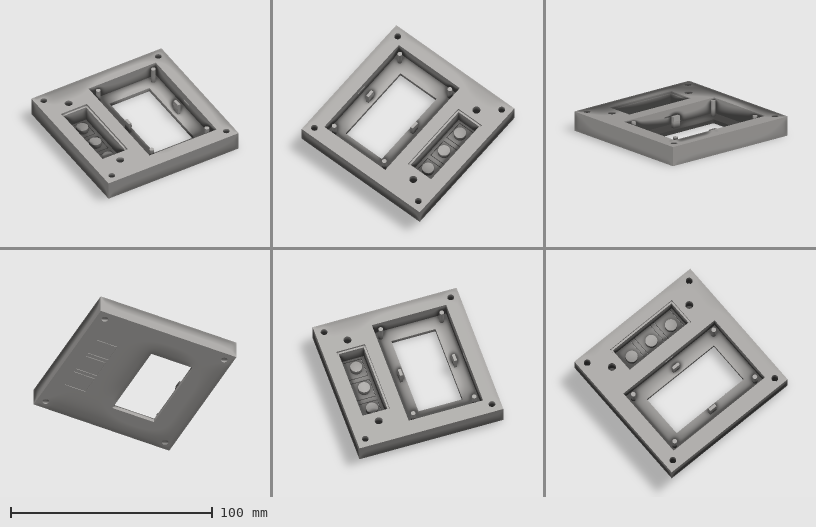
import cadquery as cq

plate_side = 75.0
plate_thickness = 10.0
screw_hole_spacing = 66.0
screw_hole_diameter = 3.4

display_center_y = 10.1
pocket_width = 59.0
pocket_height = 38.7
pocket_floor_z = 2.0
window_width = 43.4
window_height = 22.95
window_center_x = -0.75
pin_diameter = 2.3
pin_spacing_x = 52.0
pin_spacing_y = 31.8

clip_width = 4.0
clip_thickness = 1.5
clip_gap = 26.7
clip_height = 6.0
clip_top_z = pocket_floor_z + clip_height
hook_reach = 0.4
hook_nose_height = 3.5
hook_nose_z = pocket_floor_z + hook_nose_height

wall_slot_width = 5.4
wall_slot_height = 1.0
wall_slot_depth = 1.0
wall_slot_bottom_z = 5.55

keypad_center_y = -23.4
rebate_width = 40.0
rebate_height = 14.9
rebate_depth = 1.05
keypad_width = 38.0
keypad_height = 13.0
keypad_floor_z = 1.0
key_count = 3
key_pitch = 12.7
key_outer_width = 10.6
key_slit = 0.3
key_slit_top_y = -18.4
button_diameter = 6.0
button_height = 2.5
button_center_y = -22.9

blind_hole_diameter = 4.0
blind_hole_spacing = 50.0
blind_hole_floor_z = pocket_floor_z


def block(width, height, center_x, center_y, bottom_z, top_z):
    """Box with the given plan size and centre, between two levels."""
    return (
        cq.Workplane("XY", origin=(center_x, center_y, bottom_z))
        .rect(width, height)
        .extrude(top_z - bottom_z)
    )


def posts(points, diameter, bottom_z, top_z):
    """Upright cylinders at the given points, between two levels."""
    return (
        cq.Workplane("XY", origin=(0, 0, bottom_z))
        .pushPoints(points)
        .circle(diameter / 2)
        .extrude(top_z - bottom_z)
    )


def corner_points(spacing_x, spacing_y, center_y=0.0):
    """The four corners of a rectangle centred on x = 0."""
    return [
        (side_x * spacing_x / 2, center_y + side_y * spacing_y / 2)
        for side_x in (-1, 1)
        for side_y in (-1, 1)
    ]


def snap_clip(side):
    """Upright clip on one side (+1 or -1) of the window, with its hook facing the window."""
    inner = clip_gap / 2
    outer = inner + clip_thickness
    profile = [
        (outer, pocket_floor_z),
        (outer, clip_top_z),
        (inner, clip_top_z),
        (inner - hook_reach, hook_nose_z),
        (inner, hook_nose_z),
        (inner, pocket_floor_z),
    ]
    placed = [(display_center_y + side * reach, z) for reach, z in profile]
    return cq.Workplane("YZ").polyline(placed).close().extrude(clip_width / 2, both=True)


def wall_slot(side):
    """Shallow slot in the pocket wall behind a clip."""
    return block(
        wall_slot_width,
        2 * wall_slot_depth,
        0,
        display_center_y + side * pocket_height / 2,
        wall_slot_bottom_z,
        wall_slot_bottom_z + wall_slot_height,
    )


def key_slits(center_x):
    """U-shaped slit through the keypad floor that leaves a tongue joined at its -Y end."""
    slit_bottom_y = keypad_center_y - keypad_height / 2
    length = key_slit_top_y - slit_bottom_y
    outer = block(
        key_outer_width, length, center_x, slit_bottom_y + length / 2, 0, keypad_floor_z
    )
    tongue = block(
        key_outer_width - 2 * key_slit,
        length - key_slit,
        center_x,
        slit_bottom_y + (length - key_slit) / 2,
        0,
        keypad_floor_z,
    )
    return outer.cut(tongue)


body = block(plate_side, plate_side, 0, 0, 0, plate_thickness)
screw_points = corner_points(screw_hole_spacing, screw_hole_spacing)
body = body.cut(posts(screw_points, screw_hole_diameter, 0, plate_thickness))

body = body.cut(
    block(pocket_width, pocket_height, 0, display_center_y, pocket_floor_z, plate_thickness)
)
body = body.cut(
    block(window_width, window_height, window_center_x, display_center_y, 0, pocket_floor_z)
)
pin_points = corner_points(pin_spacing_x, pin_spacing_y, display_center_y)
body = body.union(posts(pin_points, pin_diameter, pocket_floor_z, plate_thickness))
for side in (-1, 1):
    body = body.union(snap_clip(side))
    body = body.cut(wall_slot(side))

body = body.cut(
    block(
        rebate_width,
        rebate_height,
        0,
        keypad_center_y,
        plate_thickness - rebate_depth,
        plate_thickness,
    )
)
body = body.cut(
    block(keypad_width, keypad_height, 0, keypad_center_y, keypad_floor_z, plate_thickness)
)
key_centers = [(index - (key_count - 1) / 2) * key_pitch for index in range(key_count)]
for center_x in key_centers:
    body = body.cut(key_slits(center_x))
button_points = [(center_x, button_center_y) for center_x in key_centers]
body = body.union(
    posts(button_points, button_diameter, keypad_floor_z, keypad_floor_z + button_height)
)

blind_points = [(side * blind_hole_spacing / 2, keypad_center_y) for side in (-1, 1)]
body = body.cut(posts(blind_points, blind_hole_diameter, blind_hole_floor_z, plate_thickness))

result = body